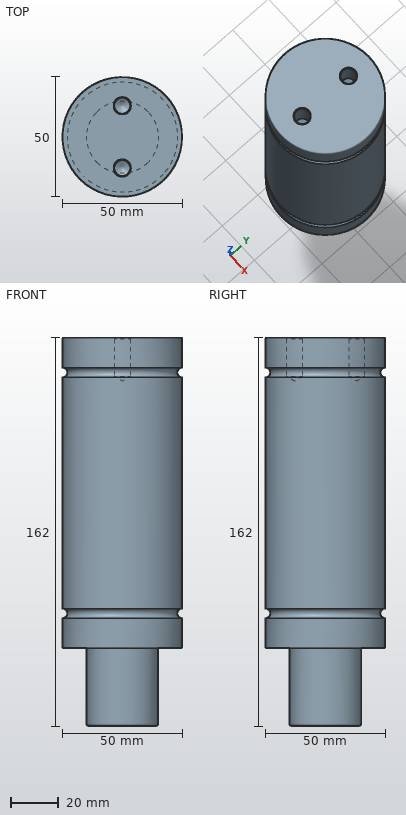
import cadquery as cq
import math

total_height = 162.0
rod_exposed_length = 32.5
housing_height = total_height - rod_exposed_length

housing_radius = 25.0
housing_edge_fillet = 0.5
groove_radius = 2.0
groove_end_distance = 14.5

hole_diameter = 6.6
hole_mouth_chamfer = 0.35
hole_spacing = 26.0
hole_depth = 16.0
drill_point_angle = 118.0

rod_radius = 15.0
rod_end_fillet = 1.0


def groove_cutter(center_height):
    """Ring of round section, centred on the housing's side surface."""
    return cq.Workplane("XY").add(
        cq.Solid.makeTorus(housing_radius, groove_radius, cq.Vector(0, 0, center_height))
    )


def drilled_hole_cutter(y_position):
    """Blind hole in the top face, with a chamfered mouth and a drill point."""
    hole_radius = hole_diameter / 2
    point_depth = hole_radius / math.tan(math.radians(drill_point_angle / 2))
    return (
        cq.Workplane("XZ")
        .polyline([
            (0, 0),
            (hole_radius + hole_mouth_chamfer, 0),
            (hole_radius, -hole_mouth_chamfer),
            (hole_radius, -hole_depth),
            (0, -hole_depth - point_depth),
        ])
        .close()
        .revolve(360, (0, 0), (0, 1))
        .translate((0, y_position, housing_height))
    )


def make_housing():
    """Cylinder with rounded rims, two ring grooves and two blind holes."""
    housing = (
        cq.Workplane("XY")
        .circle(housing_radius)
        .extrude(housing_height)
        .edges("%CIRCLE")
        .fillet(housing_edge_fillet)
    )
    for groove_height in (groove_end_distance, housing_height - groove_end_distance):
        housing = housing.cut(groove_cutter(groove_height))
    for hole_y in (-hole_spacing / 2, hole_spacing / 2):
        housing = housing.cut(drilled_hole_cutter(hole_y))
    return housing


def make_piston_rod():
    """Rod hanging below the housing, meeting its bottom face."""
    return (
        cq.Workplane("XY")
        .circle(rod_radius)
        .extrude(-rod_exposed_length)
        .faces("<Z")
        .edges()
        .fillet(rod_end_fillet)
    )


housing = make_housing()
piston_rod = make_piston_rod()

result = cq.Compound.makeCompound([housing.val(), piston_rod.val()])